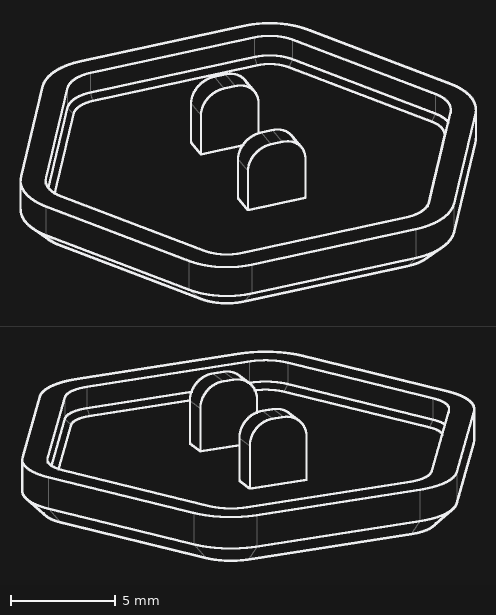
import cadquery as cq
import math

across_flats = 20.97
corner_radius = 3.05
body_height = 2.6
base_chamfer = 1.0

rim_width = 1.2
recess_depth = 1.4
floor_chamfer = 0.3

total_height = 4.6
tab_thickness = 1.2
tab_width = 3.0
tab_pitch = 5.75
tab_corner_radius = 1.2


def rounded_hexagon(flats, radius, bottom, height):
    """Upright hexagonal prism with rounded vertical edges."""
    corner_diameter = flats / math.cos(math.radians(30))
    return (
        cq.Workplane("XY")
        .workplane(offset=bottom)
        .transformed(rotate=(0, 0, 90))
        .polygon(6, corner_diameter)
        .extrude(height)
        .edges("|Z")
        .fillet(radius)
    )


def tab(center_x, bottom):
    """Upright plate with its two upper corners rounded."""
    return (
        cq.Workplane("XY")
        .box(tab_thickness, tab_width, total_height - bottom, centered=(True, True, False))
        .edges("|X and >Z")
        .fillet(tab_corner_radius)
        .translate((center_x, 0, bottom))
    )


floor_height = body_height - recess_depth

body = rounded_hexagon(across_flats, corner_radius, 0, body_height)
body = body.faces("<Z").chamfer(base_chamfer)

recess = rounded_hexagon(
    across_flats - 2 * rim_width, corner_radius - rim_width, floor_height, recess_depth
)
recess = recess.faces("<Z").chamfer(floor_chamfer)

result = body.cut(recess)
for side in (-1, 1):
    result = result.union(tab(side * tab_pitch / 2, floor_height))